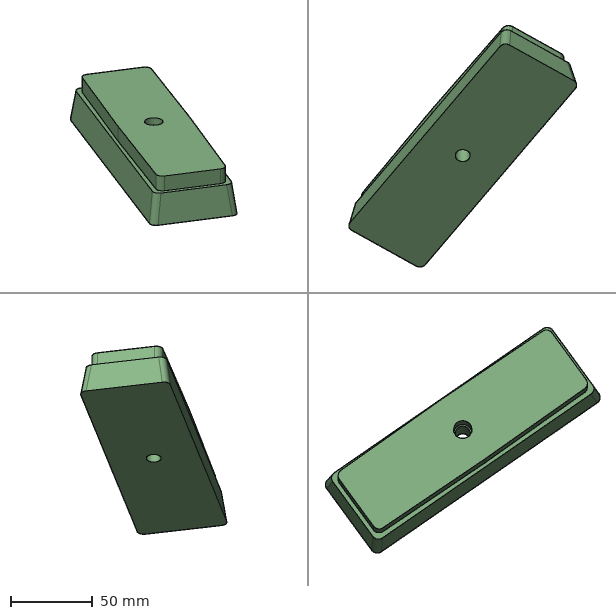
import cadquery as cq
import math

base_length = 170.0
base_width = 56.0
base_height = 20.0
base_draft = 7.8
corner_radius = 4.2

total_height = 30.0
block_height = total_height - base_height
block_length = 159.1
block_ridge_width = 45.9
ridge_flat_length = 0.3
block_end_width = 44.2

hole_diameter = 9.0
counterbore_diameter = 11.0
counterbore_depth = block_height


def make_base():
    inset = base_height * math.tan(math.radians(base_draft))
    base = (
        cq.Workplane("XY")
        .rect(base_length, base_width)
        .workplane(offset=base_height)
        .rect(base_length - 2 * inset, base_width - 2 * inset)
        .loft(ruled=True, combine=True)
    )
    slanted_edges = base.edges("not(|X or |Y)")
    return slanted_edges.fillet(corner_radius)


def make_block():
    half_length = block_length / 2
    half_end = block_end_width / 2
    half_ridge = block_ridge_width / 2
    half_flat = ridge_flat_length / 2
    outline = [
        (-half_length, -half_end),
        (-half_flat, -half_ridge),
        (half_flat, -half_ridge),
        (half_length, -half_end),
        (half_length, half_end),
        (half_flat, half_ridge),
        (-half_flat, half_ridge),
        (-half_length, half_end),
    ]
    block = (
        cq.Workplane("XY")
        .workplane(offset=base_height)
        .polyline(outline)
        .close()
        .extrude(block_height)
    )
    end_corners = block.faces("<X or >X").edges("|Z")
    return end_corners.fillet(corner_radius)


body = make_base().union(make_block())
result = (
    body.faces(">Z")
    .workplane(origin=(0, 0, total_height))
    .cboreHole(hole_diameter, counterbore_diameter, counterbore_depth)
)